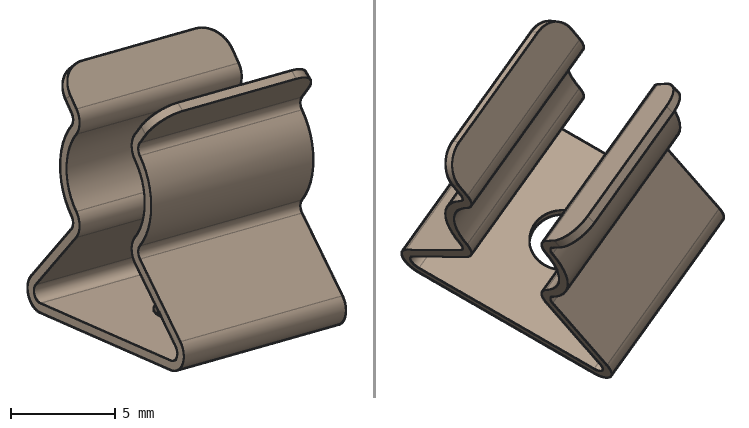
import cadquery as cq
import math


clip_width = 12.0
clip_length = 10.0
clip_height = 13.0
thickness = 0.5
inner_bend_radius = 0.5
grip_radius = 3.0
grip_height = 8.0
throat_width = 4.0
lip_angle = 50.0
lip_corner_radius = 1.5
hole_diameter = 3.2

outer_bend_radius = inner_bend_radius + thickness
foot_centre = (-clip_width / 2 + outer_bend_radius, outer_bend_radius)
waist_x = -throat_width / 2 - outer_bend_radius
waist_rise = math.sqrt((grip_radius + outer_bend_radius) ** 2 - waist_x ** 2)
lower_waist_centre = (waist_x, grip_height - waist_rise)
upper_waist_centre = (waist_x, grip_height + waist_rise)
grip_centre = (0.0, grip_height)

leg_run = lower_waist_centre[0] - foot_centre[0]
leg_rise = lower_waist_centre[1] - foot_centre[1]
leg_angle = math.degrees(
    math.atan2(leg_rise, leg_run)
    - math.asin((outer_bend_radius + inner_bend_radius) / math.hypot(leg_run, leg_rise))
)
grip_half_angle = math.degrees(math.atan2(waist_rise, -waist_x))
lip_normal_angle = 90 - lip_angle

lip_start_height = upper_waist_centre[1] + outer_bend_radius * math.sin(math.radians(lip_normal_angle))
lip_length = (clip_height - lip_start_height) / math.sin(math.radians(lip_angle))


def polar_point(centre, radius, angle):
    """Point at an angle in degrees on a circle in the XZ plane."""
    turn = math.radians(angle)
    return (centre[0] + radius * math.cos(turn), centre[1] + radius * math.sin(turn))


def bend_arc(centre, radius, start, end):
    """Start, middle and end point of a bend, going up the strip."""
    return [polar_point(centre, radius, angle) for angle in (start, (start + end) / 2, end)]


def face_arcs(foot_radius, waist_radius, jaw_radius):
    """Arcs of one face of the strip, from the foot to the start of the lip."""
    return [
        bend_arc(foot_centre, foot_radius, 270, 90 + leg_angle),
        bend_arc(lower_waist_centre, waist_radius, leg_angle - 90, grip_half_angle),
        bend_arc(grip_centre, jaw_radius, 180 + grip_half_angle, 180 - grip_half_angle),
        bend_arc(upper_waist_centre, waist_radius, -grip_half_angle, lip_normal_angle),
    ]


def make_half_strip():
    """Left half of the strip: up its outside face, across the lip tip and down its inside face."""
    outside_foot, outside_lower, outside_grip, outside_upper = face_arcs(
        outer_bend_radius, inner_bend_radius, grip_radius + thickness
    )
    inside_foot, inside_lower, inside_grip, inside_upper = face_arcs(
        inner_bend_radius, outer_bend_radius, grip_radius
    )
    lip_direction = 90 + lip_normal_angle
    outline = (
        cq.Workplane("XZ")
        .moveTo(0, 0)
        .lineTo(*outside_foot[0])
        .threePointArc(*outside_foot[1:])
        .lineTo(*outside_lower[0])
        .threePointArc(*outside_lower[1:])
        .threePointArc(*outside_grip[1:])
        .threePointArc(*outside_upper[1:])
        .lineTo(*polar_point(outside_upper[2], lip_length, lip_direction))
        .lineTo(*polar_point(inside_upper[2], lip_length, lip_direction))
        .lineTo(*inside_upper[2])
        .threePointArc(*inside_upper[1::-1])
        .threePointArc(*inside_grip[1::-1])
        .threePointArc(*inside_lower[1::-1])
        .lineTo(*inside_foot[2])
        .threePointArc(*inside_foot[1::-1])
        .lineTo(0, thickness)
        .close()
    )
    return outline.extrude(clip_length / 2, both=True)


def round_lip_corners(half_strip):
    """Round the two corners of the lip tip, seen square to the lip."""
    tip_edges = half_strip.faces(">Z").edges("not(|Y)")
    return tip_edges.fillet(lip_corner_radius)


def cut_base_hole(clip):
    """Mounting hole through the middle of the base."""
    hole = cq.Workplane("XY").circle(hole_diameter / 2).extrude(thickness)
    return clip.cut(hole)


left_half = round_lip_corners(make_half_strip())
clip = left_half.union(left_half.mirror("YZ"), clean=True)
result = cut_base_hole(clip)